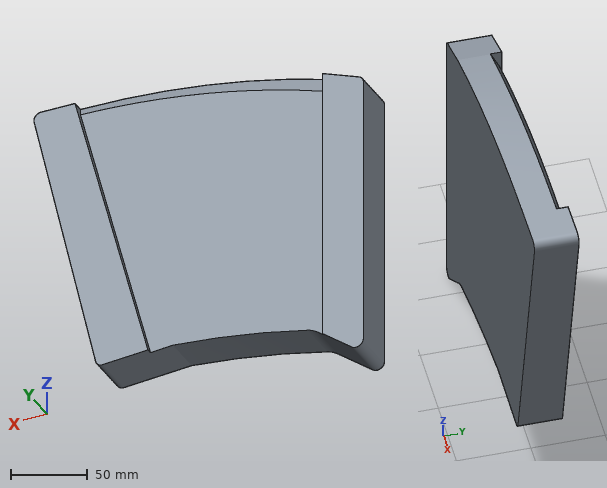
import cadquery as cq
import math

thickness = 30.0
corner_radius = 5.2

crown_radius = 613.5
crown_center_x = 234.2
crown_top = 260.0
crown_center_z = crown_top - crown_radius
crown_start_x = 31.3
crown_end_x = 210.0
left_shoulder_slope = 0.42
right_shoulder_slope = 0.045

right_edge_foot_x = 186.2
right_edge_slope = 0.222

foot_corner_z = -5.7
arch_start = (37.8, 25.0)
arch_middle = (87.5, 38.0)
arch_end = (142.0, 47.5)
bottom_right_z = 46.0
foot_blend_radius = 20.9

recess_left_x = 30.2
recess_right_top = (212.5, 259.7)
recess_right_bottom = (158.8, 47.5)
floor_depth_left = 1.5
floor_depth_right = 4.5
lip_depth = 7.8
lip_width = 15.6
overrun = 13.0


def crown_z(x):
    """Height of the crowned top edge at a given x."""
    return crown_center_z + math.sqrt(crown_radius**2 - (x - crown_center_x) ** 2)


def right_edge_x(z):
    """Position of the leaning right edge at a given height."""
    return right_edge_foot_x + right_edge_slope * z


def point_on_wall(z):
    """Point at height z on the straight line of the recess's right wall."""
    (top_x, top_z), (bottom_x, bottom_z) = recess_right_top, recess_right_bottom
    return (bottom_x + (top_x - bottom_x) * (z - bottom_z) / (top_z - bottom_z), z)


def round_corner(body, corner, radius):
    """Round the edge through the thickness that lies at an (x, z) corner."""
    nearest = cq.selectors.NearestToPointSelector((corner[0], thickness / 2, corner[1]))
    return body.edges("|Y").edges(nearest).fillet(radius)


def panel():
    crown_start = (crown_start_x, crown_z(crown_start_x))
    crown_middle_x = (crown_start_x + crown_end_x) / 2
    crown_middle = (crown_middle_x, crown_z(crown_middle_x))
    crown_end = (crown_end_x, crown_z(crown_end_x))

    top_left = (0, crown_start[1] - left_shoulder_slope * crown_start_x)
    shoulder_base_z = crown_end[1] - right_shoulder_slope * crown_end_x
    top_right_x = right_edge_x(shoulder_base_z) / (1 - right_edge_slope * right_shoulder_slope)
    top_right = (top_right_x, shoulder_base_z + right_shoulder_slope * top_right_x)
    bottom_right = (right_edge_x(bottom_right_z), bottom_right_z)
    bottom_left = (0, foot_corner_z)

    body = (
        cq.Workplane("XZ")
        .moveTo(*bottom_left)
        .lineTo(*top_left)
        .lineTo(*crown_start)
        .threePointArc(crown_middle, crown_end)
        .lineTo(*top_right)
        .lineTo(*bottom_right)
        .lineTo(*arch_end)
        .threePointArc(arch_middle, arch_start)
        .close()
        .extrude(-thickness)
    )
    for corner in (bottom_left, top_left, top_right, bottom_right):
        body = round_corner(body, corner, corner_radius)
    return round_corner(body, arch_start, foot_blend_radius)


def channel():
    """Block between the two side walls of the recess, running past both ends."""
    top_z = crown_top + overrun
    bottom_z = -overrun
    walls = [
        (recess_left_x, bottom_z),
        (recess_left_x, top_z),
        point_on_wall(top_z),
        point_on_wall(bottom_z),
    ]
    return cq.Workplane("XZ").polyline(walls).close().extrude(-(thickness + overrun))


def behind_floor():
    """Space behind the flat floor, which gets deeper from left to right."""
    right_x = recess_right_top[0]
    slope = (floor_depth_right - floor_depth_left) / (right_x - recess_left_x)
    left_end = recess_left_x - overrun
    right_end = right_x + overrun
    section = [
        (left_end, thickness - floor_depth_left + slope * overrun),
        (right_end, thickness - floor_depth_right - slope * overrun),
        (right_end, thickness + overrun),
        (left_end, thickness + overrun),
    ]
    block = cq.Workplane("XY").workplane(offset=-overrun).polyline(section).close()
    return block.extrude(crown_top + 2 * overrun)


def behind_lip():
    """Space behind the conical lip that drops from the floor to the crowned edge."""
    lip_y = thickness - lip_depth
    section = [
        (crown_radius - lip_width, thickness),
        (crown_radius, lip_y),
        (crown_radius + overrun, lip_y),
        (crown_radius + overrun, thickness),
    ]
    profile = cq.Workplane("XY", origin=(crown_center_x, 0, crown_center_z)).polyline(section).close()
    return profile.revolve(360, (0, 0), (0, 1))


recess = behind_floor().union(behind_lip()).intersect(channel())
result = panel().cut(recess)